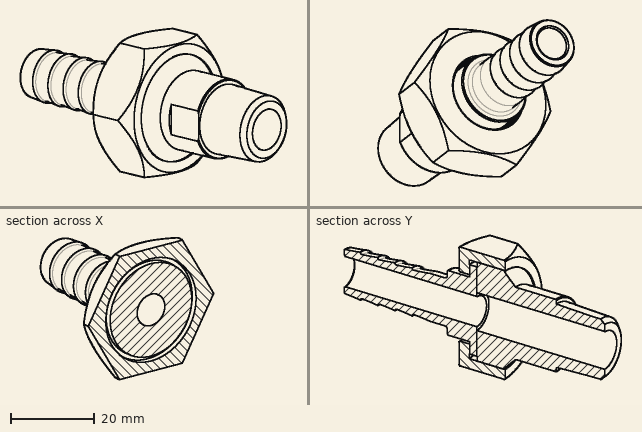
import cadquery as cq
import math

barb_count = 5
barb_pitch = 5.0
barb_root_radius = 6.0
barb_crest_radius = 13.0 / 2
barb_first_crest_x = 4.8
barb_root_fillet = 0.45
sleeve_x = 25.1
tip_radius = 5.8
tip_taper_length = 0.3
tail_bore_radius = 8.0 / 2
tail_bore_chamfer = 0.4
collar_x = 30.0
collar_radius = 17.5 / 2
collar_chamfer = 0.3
collar_fillet = 0.75
flange_radius = 24.1 / 2
flange_thickness = 2.3

nut_x = 33.45
nut_length = 13.5
nut_across_flats = 32.0
nut_face_radius = 31.5 / 2
lip_thickness = 3.05
lip_bore_radius = 18.5 / 2
lip_chamfer = 0.4
nut_bore_radius = 26.4 / 2

overall_length = 76.0
adapter_bore_radius = 10.0 / 2
neck_x = 50.0
neck_radius = 19.5 / 2
shoulder_x = 61.95
shoulder_chamfer = 0.2
flat_start_x = 53.0
across_wrench_flats = 18.0
spigot_base_radius = 8.6
spigot_end_radius = 8.1
spigot_chamfer_length = 1.2
spigot_chamfer_depth = 1.15

nut_end_x = nut_x + nut_length
flange_x = nut_x + lip_thickness
joint_x = flange_x + flange_thickness
nut_corner_radius = nut_across_flats / math.sqrt(3)


def revolve_about_x(profile):
    """Turn a closed (x, radius) outline around the X axis."""
    return profile.close().revolve(360, (0, 0, 0), (1, 0, 0))


def bore(start_x, end_x, radius):
    """Cylinder along X."""
    return cq.Workplane("YZ", origin=(start_x, 0, 0)).circle(radius).extrude(end_x - start_x)


def make_hose_tail():
    profile = (
        cq.Workplane("XY")
        .moveTo(0, tail_bore_radius + tail_bore_chamfer)
        .lineTo(0, tip_radius)
        .lineTo(tip_taper_length, barb_root_radius)
    )
    for barb in range(barb_count - 1):
        crest_x = barb_first_crest_x + barb * barb_pitch
        profile = (
            profile.lineTo(crest_x, barb_crest_radius)
            .lineTo(crest_x, barb_root_radius + barb_root_fillet)
            .radiusArc((crest_x + barb_root_fillet, barb_root_radius), -barb_root_fillet)
        )
    profile = (
        profile.lineTo(sleeve_x, barb_crest_radius)
        .lineTo(collar_x - collar_fillet, barb_crest_radius)
        .radiusArc((collar_x, barb_crest_radius + collar_fillet), -collar_fillet)
        .lineTo(collar_x, collar_radius - collar_chamfer)
        .lineTo(collar_x + collar_chamfer, collar_radius)
        .lineTo(flange_x, collar_radius)
        .lineTo(flange_x, flange_radius)
        .lineTo(joint_x, flange_radius)
        .lineTo(joint_x, tail_bore_radius)
        .lineTo(tail_bore_chamfer, tail_bore_radius)
    )
    return revolve_about_x(profile)


def make_union_nut():
    hexagon = (
        cq.Workplane("YZ", origin=(nut_x, 0, 0))
        .polygon(6, 2 * nut_corner_radius)
        .extrude(nut_length)
    )
    corner_chamfer = nut_corner_radius - nut_face_radius
    chamfer_envelope = bore(nut_x, nut_end_x, nut_corner_radius).edges().chamfer(corner_chamfer)
    lip_hole = revolve_about_x(
        cq.Workplane("XY")
        .moveTo(nut_x, 0)
        .lineTo(nut_x, lip_bore_radius + lip_chamfer)
        .lineTo(nut_x + lip_chamfer, lip_bore_radius)
        .lineTo(flange_x, lip_bore_radius)
        .lineTo(flange_x, 0)
    )
    wide_bore = bore(flange_x, nut_end_x, nut_bore_radius)
    return hexagon.intersect(chamfer_envelope).cut(lip_hole).cut(wide_bore)


def make_adapter():
    cone_length = nut_bore_radius - neck_radius
    body = revolve_about_x(
        cq.Workplane("XY")
        .moveTo(joint_x, adapter_bore_radius)
        .lineTo(joint_x, nut_bore_radius)
        .lineTo(neck_x - cone_length, nut_bore_radius)
        .lineTo(neck_x, neck_radius)
        .lineTo(shoulder_x - shoulder_chamfer, neck_radius)
        .lineTo(shoulder_x, neck_radius - shoulder_chamfer)
        .lineTo(shoulder_x, spigot_base_radius)
        .lineTo(overall_length - spigot_chamfer_length, spigot_end_radius)
        .lineTo(overall_length, spigot_end_radius - spigot_chamfer_depth)
        .lineTo(overall_length, adapter_bore_radius)
    )
    return cut_wrench_flats(body)


def cut_wrench_flats(body):
    """Cut two opposite flats, facing -Y and +Y, up to the shoulder."""
    flat_length = shoulder_x - flat_start_x
    flat_depth = neck_radius - across_wrench_flats / 2
    for side in (-1, 1):
        cutter = cq.Workplane("XY").box(flat_length, flat_depth, 2 * neck_radius)
        center_y = side * (across_wrench_flats + flat_depth) / 2
        cutter = cutter.translate((flat_start_x + flat_length / 2, center_y, 0))
        body = body.cut(cutter)
    return body


hose_tail = make_hose_tail()
union_nut = make_union_nut()
adapter = make_adapter()

result = cq.Compound.makeCompound([hose_tail.val(), union_nut.val(), adapter.val()])